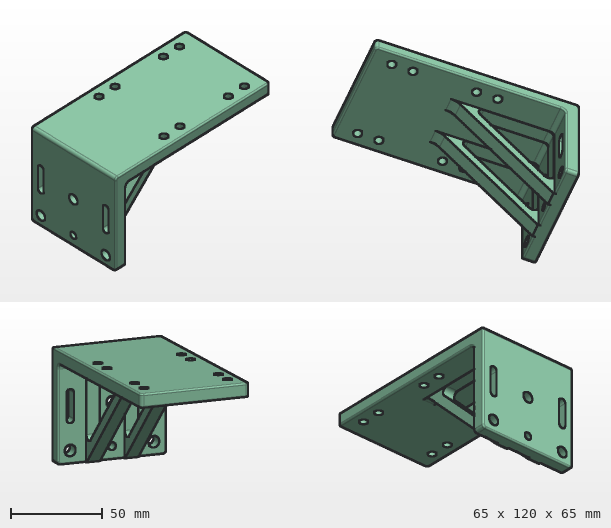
import cadquery as cq
import math

length = 120.0
width = 65.0
height = 65.0
thickness = 8.0

outer_bend_radius = 2.0
inner_bend_radius = 3.0
corner_radius = 2.0
edge_radius = 1.0

rib_width = thickness
rib_spacing = 22.9
strut_thickness = 6.0
strut_reach = 8.5
window_radius = 3.0
window_drop = 8.3
strut_root_radius = 7.8
embed_depth = thickness / 2

pitch = 12.5
column = 2 * pitch
shelf_hole_diameter = 4.9
shelf_hole_steps = (1, 2, 5, 6)
wall_hole_diameter = 6.5
pin_hole_diameter = 4.5
slot_width = 4.5
slot_length = 19.1
cutter_depth = 1.1 * thickness
wall_center_z = -height / 2
lower_row_z = wall_center_z - column


def make_angle():
    """L-shaped body with its top front edge on the X axis, all edges rounded."""
    angle = (
        cq.Workplane("YZ")
        .polyline([
            (0, 0),
            (length, 0),
            (length, -thickness),
            (thickness, -thickness),
            (thickness, -height),
            (0, -height),
        ])
        .close()
        .extrude(width / 2, both=True)
    )
    angle = angle.edges("|X").edges("<Y and >Z").fillet(outer_bend_radius)
    inner_bend = cq.selectors.NearestToPointSelector((0, thickness, -thickness))
    angle = angle.edges("|X").edges(inner_bend).fillet(inner_bend_radius)
    angle = angle.faces(">Y").edges("|Z").fillet(corner_radius)
    angle = angle.faces("<Z").edges("|Y").fillet(corner_radius)
    return angle.faces("<X or >X").edges("|Y").fillet(edge_radius)


def make_rib():
    """Triangular rib centred on X = 0: a 45 degree strut around an open window."""
    diagonal = strut_reach + height
    root_y = diagonal - thickness
    root_tangent = strut_root_radius * math.tan(math.pi / 8)
    root_drop = root_tangent * math.sin(math.pi / 4)
    rib = (
        cq.Workplane("YZ")
        .moveTo(embed_depth, -height)
        .lineTo(strut_reach, -height)
        .lineTo(root_y - root_drop, -thickness - root_drop)
        .radiusArc((root_y + root_tangent, -thickness), strut_root_radius)
        .lineTo(root_y + root_tangent, -embed_depth)
        .lineTo(embed_depth, -embed_depth)
        .close()
        .extrude(rib_width / 2, both=True)
    )
    window_leg = diagonal - strut_thickness * math.sqrt(2) - strut_reach - window_drop
    window = (
        cq.Workplane("YZ")
        .moveTo(strut_reach, -window_drop)
        .lineTo(strut_reach + window_leg, -window_drop)
        .lineTo(strut_reach, -window_drop - window_leg)
        .close()
        .extrude(rib_width, both=True)
        .edges("|X")
        .fillet(window_radius)
    )
    return rib.cut(window)


def make_shelf_holes():
    """Cutters for the vertical holes through the shelf."""
    centers = [(x, length - pitch * step) for x in (-column, column) for step in shelf_hole_steps]
    return (
        cq.Workplane("XY")
        .pushPoints(centers)
        .circle(shelf_hole_diameter / 2)
        .extrude(-cutter_depth)
    )


def make_wall_holes():
    """Cutters for the slots and round holes through the wall."""
    front = cq.Workplane("XZ")
    slots = (
        front.pushPoints([(x, wall_center_z) for x in (-column, column)])
        .slot2D(slot_length, slot_width, 90)
        .extrude(-cutter_depth)
    )
    round_holes = (
        front.pushPoints([(0, wall_center_z), (-column, lower_row_z), (column, lower_row_z)])
        .circle(wall_hole_diameter / 2)
        .extrude(-cutter_depth)
    )
    pin_hole = front.center(0, lower_row_z).circle(pin_hole_diameter / 2).extrude(-cutter_depth)
    return slots.union(round_holes).union(pin_hole)


result = make_angle()
for side in (-1, 1):
    result = result.union(make_rib().translate((side * rib_spacing / 2, 0, 0)))
result = result.cut(make_shelf_holes()).cut(make_wall_holes())